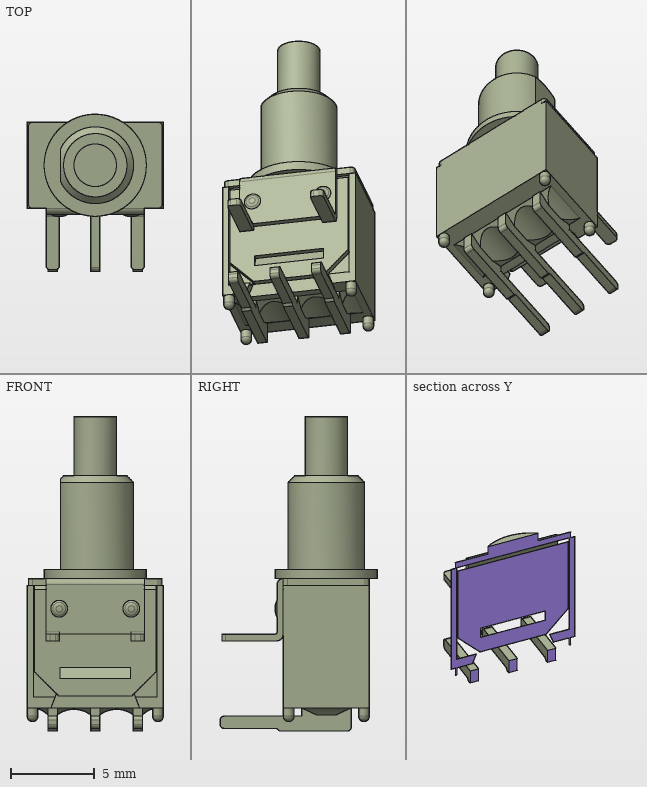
import cadquery as cq
import math


TOTAL_HEIGHT = 18.76
TOTAL_DEPTH = 9.39

BODY_X = 8.13
BODY_Y = 5.14
BODY_TOP = 7.31
FRONT_Y = -BODY_Y / 2
WINDOW_HALF_X = 3.69
WINDOW_BOTTOM = 0.65
WINDOW_DEPTH = 0.37

NOTCH_HALF_BOTTOM = 2.65
NOTCH_HALF_TOP = 2.33
NOTCH_HEIGHT = 0.82
NOTCH_DEPTH = 0.58

PANEL_HALF_X = 3.62
PANEL_BOTTOM = 0.71
PANEL_BOTTOM_HALF_X = 2.17
PANEL_CORNER_TOP = 2.16
PANEL_TOP_CHAMFER = 0.25
SLOT_LENGTH = 4.21
SLOT_BOTTOM = 1.77
SLOT_TOP = 2.43
SLOT_DEPTH = 0.34

SHEET = 0.42
WEB_THICKNESS = 0.37
PLATE_X = 7.97
PLATE_CORNER_RADIUS = 0.25
PLATE_TOP = BODY_TOP + SHEET
WEB_X = 5.86
BEND_OUTER_RADIUS = 0.37
BEND_INNER_RADIUS = 0.12
LEG_HEEL_RADIUS = 0.41
WEB_FRONT_Y = FRONT_Y - WEB_THICKNESS
LEG_WIDTH = 0.79
LEG_BOTTOM = 4.0
LEG_TOP = LEG_BOTTOM + SHEET
LEG_TIP_Y = -6.23
LEG_TIP_RADIUS = 0.22

RIVET_X = 2.15
RIVET_Z = 5.93
RIVET_BASE_RADIUS = 0.5
RIVET_MIDDLE_RADIUS = 0.38
RIVET_TIP_RADIUS = 0.19
RIVET_SHOULDER = 0.06
RIVET_HEIGHT = 0.12

WASHER_DIAMETER = 6.1
WASHER_TOP = 8.27
BUSHING_DIAMETER = 4.58
BUSHING_TOP = 13.86
BUSHING_CHAMFER = 0.4
BUSHING_FLAT_X = -2.08
PLUNGER_DIAMETER = 2.54
PLUNGER_TOP = 17.39

PEG_DIAMETER = 0.65
PEG_STRAIGHT = 0.48

TERMINAL_PITCH = 2.54
TERMINAL_WIDTH = 0.56
TERMINAL_BACK_Y = 1.5
TERMINAL_STEP_Y = -1.48
TERMINAL_TIP_Y = WASHER_DIAMETER / 2 - TOTAL_DEPTH
TERMINAL_BOTTOM = PLUNGER_TOP - TOTAL_HEIGHT
TERMINAL_ARM_TOP = -0.47
TERMINAL_ARM_BOTTOM = -1.22
TERMINAL_TAPER_Y = -2.8
TERMINAL_TIP_RADIUS = 0.25
TERMINAL_BACK_RADIUS = 0.25

SEAL_HALF_Y = 1.45
SEAL_BOTTOM_HALF_Y = 0.6
SEAL_DROP = 0.4
SEAL_MIDSPAN_DROP = 0.08
SEAL_END_MID_DROP = 0.13
SEAL_END_X = 3.6
SEAL_OVERLAP = 0.2


def box(x_min, x_max, y_min, y_max, z_min, z_max):
    size = (x_max - x_min, y_max - y_min, z_max - z_min)
    return cq.Workplane("XY").box(*size, centered=False).translate((x_min, y_min, z_min))


def extrude_y(profile, y_start, y_end):
    """Extrude a closed XZ profile, drawn on the XZ plane, from y_start to y_end."""
    return profile.extrude(y_start - y_end).translate((0, y_start, 0))


def make_housing():
    """Box with a front window for the panel and a tapered notch in the rail below it."""
    housing = cq.Workplane("XY").box(BODY_X, BODY_Y, BODY_TOP, centered=(True, True, False))
    window = box(-WINDOW_HALF_X, WINDOW_HALF_X, FRONT_Y, FRONT_Y + WINDOW_DEPTH, WINDOW_BOTTOM, BODY_TOP)
    notch_profile = cq.Workplane("XZ").polyline([
        (-NOTCH_HALF_BOTTOM, 0),
        (NOTCH_HALF_BOTTOM, 0),
        (NOTCH_HALF_TOP, NOTCH_HEIGHT),
        (-NOTCH_HALF_TOP, NOTCH_HEIGHT),
    ]).close()
    notch = extrude_y(notch_profile, FRONT_Y, FRONT_Y + NOTCH_DEPTH)
    return housing.cut(window).cut(notch)


def make_panel():
    profile = cq.Workplane("XZ").polyline([
        (-PANEL_BOTTOM_HALF_X, PANEL_BOTTOM),
        (PANEL_BOTTOM_HALF_X, PANEL_BOTTOM),
        (PANEL_HALF_X, PANEL_CORNER_TOP),
        (PANEL_HALF_X, BODY_TOP),
        (-PANEL_HALF_X, BODY_TOP),
        (-PANEL_HALF_X, PANEL_CORNER_TOP),
    ]).close()
    panel = extrude_y(profile, FRONT_Y, FRONT_Y + WINDOW_DEPTH)
    panel = panel.faces(">Z").edges("<Y").chamfer(PANEL_TOP_CHAMFER)
    slot = cq.Workplane("YZ").polyline([
        (FRONT_Y, SLOT_BOTTOM),
        (FRONT_Y + SLOT_DEPTH, SLOT_TOP),
        (FRONT_Y, SLOT_TOP),
    ]).close().extrude(SLOT_LENGTH / 2, both=True)
    return panel.cut(slot)


def make_leg(x_center):
    leg = box(-LEG_WIDTH / 2, LEG_WIDTH / 2, LEG_TIP_Y, FRONT_Y, LEG_BOTTOM, LEG_TOP)
    leg = leg.edges("|Z and <Y").fillet(LEG_TIP_RADIUS)
    bend_corner = box(
        -LEG_WIDTH / 2, LEG_WIDTH / 2,
        WEB_FRONT_Y - BEND_INNER_RADIUS, WEB_FRONT_Y,
        LEG_TOP, LEG_TOP + BEND_INNER_RADIUS,
    )
    bend_cylinder = (
        cq.Workplane("YZ")
        .center(WEB_FRONT_Y - BEND_INNER_RADIUS, LEG_TOP + BEND_INNER_RADIUS)
        .circle(BEND_INNER_RADIUS)
        .extrude(LEG_WIDTH / 2, both=True)
    )
    leg = leg.union(bend_corner.cut(bend_cylinder))
    leg = leg.edges("|X and >Y and <Z").fillet(LEG_HEEL_RADIUS)
    return leg.translate((x_center, 0, 0))


def make_cover():
    plate = (
        cq.Workplane("XY")
        .box(PLATE_X, BODY_Y, SHEET, centered=(True, True, False))
        .edges("|Z")
        .fillet(PLATE_CORNER_RADIUS)
        .translate((0, 0, BODY_TOP))
    )
    bend_center_z = PLATE_TOP - BEND_OUTER_RADIUS
    arc_offset = BEND_OUTER_RADIUS * math.sqrt(0.5)
    web = (
        cq.Workplane("YZ")
        .moveTo(FRONT_Y, LEG_TOP)
        .lineTo(WEB_FRONT_Y, LEG_TOP)
        .lineTo(WEB_FRONT_Y, bend_center_z)
        .threePointArc((FRONT_Y - arc_offset, bend_center_z + arc_offset), (FRONT_Y, PLATE_TOP))
        .close()
        .extrude(WEB_X / 2, both=True)
    )
    cover = plate.union(web)
    leg_x = (WEB_X - LEG_WIDTH) / 2
    for side in (-1, 1):
        cover = cover.union(make_leg(side * leg_x))
        cover = cover.union(make_rivet_head(side * RIVET_X))
    return cover


def make_rivet_head(x_center):
    head = (
        cq.Workplane("XY")
        .polyline([
            (0, 0),
            (RIVET_BASE_RADIUS, 0),
            (RIVET_MIDDLE_RADIUS, -RIVET_SHOULDER),
            (RIVET_TIP_RADIUS, -RIVET_HEIGHT),
            (0, -RIVET_HEIGHT),
        ])
        .close()
        .revolve(360, (0, 0, 0), (0, 1, 0))
    )
    return head.translate((x_center, WEB_FRONT_Y, RIVET_Z))


def cylinder(diameter, z_min, z_max):
    return cq.Workplane("XY").workplane(offset=z_min).circle(diameter / 2).extrude(z_max - z_min)


def make_bushing():
    washer = cylinder(WASHER_DIAMETER, PLATE_TOP, WASHER_TOP)
    bushing = cylinder(BUSHING_DIAMETER, WASHER_TOP, BUSHING_TOP)
    bushing = bushing.faces(">Z").edges().chamfer(BUSHING_CHAMFER)
    radius = BUSHING_DIAMETER / 2
    flat_cut = box(-radius, BUSHING_FLAT_X, -radius, radius, WASHER_TOP, BUSHING_TOP)
    plunger = cylinder(PLUNGER_DIAMETER, BUSHING_TOP, PLUNGER_TOP)
    return washer.union(bushing.cut(flat_cut)).union(plunger)


def make_peg(x_center, y_center):
    radius = PEG_DIAMETER / 2
    peg = (
        cq.Workplane("XZ")
        .lineTo(radius, 0)
        .lineTo(radius, -PEG_STRAIGHT)
        .threePointArc(
            (radius * math.sqrt(0.5), -PEG_STRAIGHT - radius * math.sqrt(0.5)),
            (0, -PEG_STRAIGHT - radius),
        )
        .close()
        .revolve(360, (0, 0, 0), (0, 1, 0))
    )
    return peg.translate((x_center, y_center, 0))


def make_terminal(x_center):
    taper = TERMINAL_ARM_BOTTOM - TERMINAL_BOTTOM
    terminal = cq.Workplane("YZ").polyline([
        (TERMINAL_BACK_Y, NOTCH_HEIGHT),
        (TERMINAL_BACK_Y, TERMINAL_BOTTOM),
        (TERMINAL_TAPER_Y, TERMINAL_BOTTOM),
        (TERMINAL_TAPER_Y - taper, TERMINAL_ARM_BOTTOM),
        (TERMINAL_TIP_Y, TERMINAL_ARM_BOTTOM),
        (TERMINAL_TIP_Y, TERMINAL_ARM_TOP),
        (TERMINAL_STEP_Y, TERMINAL_ARM_TOP),
        (TERMINAL_STEP_Y, NOTCH_HEIGHT),
    ]).close().extrude(TERMINAL_WIDTH / 2, both=True)
    terminal = terminal.faces("<Y").edges("|X").fillet(TERMINAL_TIP_RADIUS)
    terminal = terminal.faces(">Y").edges("|X and <Z").fillet(TERMINAL_BACK_RADIUS)
    return terminal.translate((x_center, 0, 0))


def make_seal():
    """Compound that climbs each terminal, scalloped between terminals and tapered in Y."""
    half_width = TERMINAL_WIDTH / 2
    outer_x = TERMINAL_PITCH + half_width
    end_mid_x = (outer_x + SEAL_END_X) / 2
    scallops = (
        cq.Workplane("XZ")
        .moveTo(-SEAL_END_X, SEAL_OVERLAP)
        .lineTo(-SEAL_END_X, 0)
        .threePointArc((-end_mid_x, -SEAL_END_MID_DROP), (-outer_x, -SEAL_DROP))
    )
    for left_x in (-TERMINAL_PITCH, 0):
        scallops = (
            scallops
            .lineTo(left_x + half_width, -SEAL_DROP)
            .threePointArc(
                (left_x + TERMINAL_PITCH / 2, -SEAL_MIDSPAN_DROP),
                (left_x + TERMINAL_PITCH - half_width, -SEAL_DROP),
            )
        )
    scallops = (
        scallops
        .lineTo(outer_x, -SEAL_DROP)
        .threePointArc((end_mid_x, -SEAL_END_MID_DROP), (SEAL_END_X, 0))
        .lineTo(SEAL_END_X, SEAL_OVERLAP)
        .close()
    )
    scalloped_bar = extrude_y(scallops, -SEAL_HALF_Y, SEAL_HALF_Y)
    taper = cq.Workplane("YZ").polyline([
        (-SEAL_HALF_Y, SEAL_OVERLAP),
        (-SEAL_HALF_Y, 0),
        (-SEAL_BOTTOM_HALF_Y, -SEAL_DROP),
        (SEAL_BOTTOM_HALF_Y, -SEAL_DROP),
        (SEAL_HALF_Y, 0),
        (SEAL_HALF_Y, SEAL_OVERLAP),
    ]).close().extrude(SEAL_END_X, both=True)
    return scalloped_bar.intersect(taper)


result = make_housing().union(make_panel()).union(make_cover()).union(make_bushing())
result = result.union(make_seal())

peg_x = (BODY_X - PEG_DIAMETER) / 2
peg_y = (BODY_Y - PEG_DIAMETER) / 2
for x_side in (-1, 1):
    for y_side in (-1, 1):
        result = result.union(make_peg(x_side * peg_x, y_side * peg_y))

for position in (-1, 0, 1):
    result = result.union(make_terminal(position * TERMINAL_PITCH))